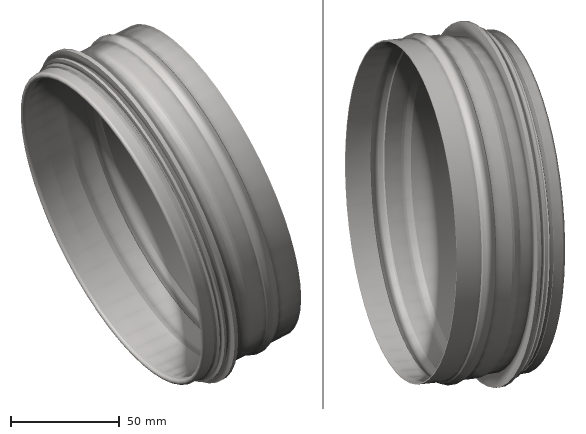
import cadquery as cq
import math

length = 53.0
wall = 0.5

sleeve_radius = 159.0 / 2
neck_start_radius = 78.3
neck_radius = 155.3 / 2
lip_inner_radius = 153.1 / 2

shoulder_start_y = 26.0
shoulder_bend_y = 24.7
neck_start_y = 21.7
neck_end_y = 10.7
hem_edge_y = 6.0
shoulder_bend_drop = 0.2

bead_y = 37.5
bead_half_width = 3.5
bead_root_half_width = 3.0
bead_root_height = 0.7
bead_crest_half_width = 1.4
bead_height = 1.9
bead_flank_height = 1.5

fold_radius = (sleeve_radius - lip_inner_radius) / 2
fold_center_radius = lip_inner_radius + fold_radius
pocket_radius = fold_radius - wall

gasket_outer_radius = sleeve_radius - wall
main_fin_radius = 169.4 / 2
main_fin_y = (13.7, 15.6)
main_fin_fillet = 0.5
middle_fin_radius = 164.3 / 2
middle_fin_y = (9.8, 11.0)
small_fin_radius = 80.6
small_fin_y = (7.6, 9.0)


def add_face(path, inset):
    """Trace one face of the sheet from its rear edge to the folded lip."""
    radius = sleeve_radius - inset
    flank_inset = inset * math.tan(math.pi / 8)
    foot = bead_half_width - flank_inset
    root = bead_root_half_width - flank_inset
    crest = bead_crest_half_width - flank_inset
    lip_radius = lip_inner_radius + wall - inset
    return (
        path.lineTo(radius, bead_y + foot)
        .lineTo(radius + bead_root_height, bead_y + root)
        .lineTo(radius + bead_flank_height, bead_y + crest)
        .threePointArc((radius + bead_height, bead_y), (radius + bead_flank_height, bead_y - crest))
        .lineTo(radius + bead_root_height, bead_y - root)
        .lineTo(radius, bead_y - foot)
        .lineTo(radius, shoulder_start_y)
        .lineTo(radius - shoulder_bend_drop, shoulder_bend_y)
        .lineTo(neck_start_radius - inset, neck_start_y)
        .lineTo(neck_radius - inset, neck_end_y)
        .lineTo(lip_radius, fold_radius)
    )


def make_sleeve():
    """Thin sheet sleeve with a bead, a necked front and an outward hem."""
    def sheet_profile(inset):
        start = cq.Workplane("XY").moveTo(sleeve_radius - inset, length)
        return add_face(start, inset)

    axis_y = fold_radius
    outer = (
        sheet_profile(0)
        .threePointArc(
            (fold_center_radius, axis_y - pocket_radius),
            (fold_center_radius + pocket_radius, axis_y),
        )
        .lineTo(sleeve_radius - wall, hem_edge_y)
        .lineTo(sleeve_radius, hem_edge_y)
        .lineTo(sleeve_radius, axis_y)
        .threePointArc((fold_center_radius, 0), (lip_inner_radius, axis_y))
        .lineTo(0, axis_y)
        .lineTo(0, length)
        .close()
        .revolve(360, (0, 0, 0), (0, 1, 0))
    )
    bore = (
        sheet_profile(wall)
        .lineTo(0, axis_y)
        .lineTo(0, length)
        .close()
        .revolve(360, (0, 0, 0), (0, 1, 0))
    )
    return outer.cut(bore)


def make_gasket():
    """Sealing ring seated in the hem, with three fins of decreasing radius."""
    base = gasket_outer_radius
    main_front, main_rear = main_fin_y
    middle_front, middle_rear = middle_fin_y
    small_front, small_rear = small_fin_y
    neck_slope = (neck_start_radius - neck_radius) / (neck_start_y - neck_end_y)
    rear_inner_radius = neck_radius + neck_slope * (main_rear - neck_end_y)
    return (
        cq.Workplane("XY")
        .moveTo(lip_inner_radius + wall, fold_radius)
        .lineTo(base, fold_radius)
        .lineTo(base, small_front)
        .lineTo(small_fin_radius, (small_front + small_rear) / 2)
        .lineTo(base, small_rear)
        .lineTo(base, middle_front)
        .lineTo(middle_fin_radius, middle_front)
        .lineTo(middle_fin_radius, middle_rear)
        .lineTo(base, middle_rear)
        .lineTo(base, main_front - main_fin_fillet)
        .lineTo(base + main_fin_fillet, main_front)
        .lineTo(main_fin_radius, main_front)
        .lineTo(main_fin_radius, main_rear)
        .lineTo(rear_inner_radius, main_rear)
        .lineTo(neck_radius, neck_end_y)
        .close()
        .revolve(360, (0, 0, 0), (0, 1, 0))
    )


sleeve = make_sleeve()
gasket = make_gasket()
result = cq.Compound.makeCompound([sleeve.val(), gasket.val()])